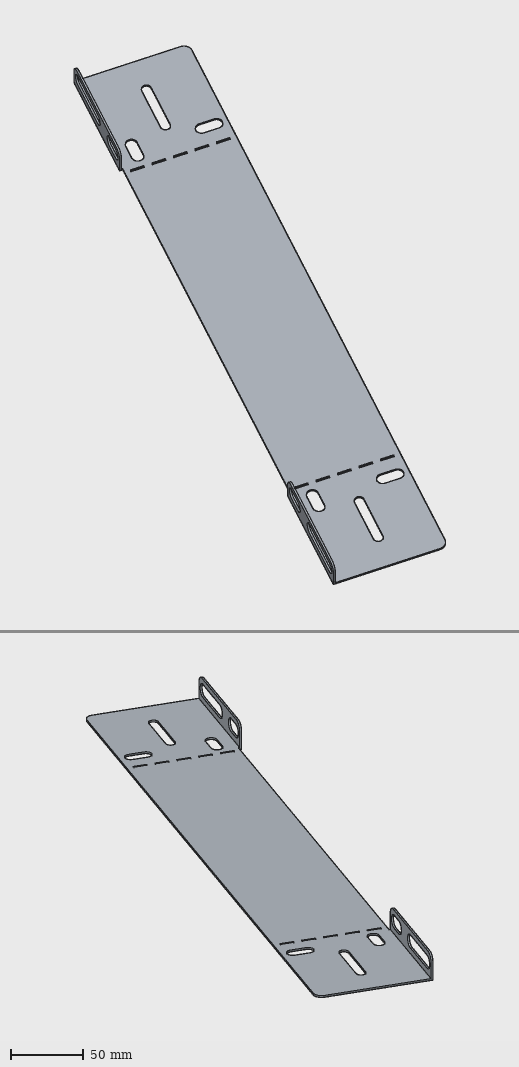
import cadquery as cq

length = 473.0
depth = 86.0
height = 20.0
thickness = 1.5
corner_radius = 6.0

flange_length = 83.2
front_setback = 2.5

middle_row = 42.0
row_offset = 28.0
mount_slot_length = 20.0
mount_slot_width = 8.5
mount_slot_inset = 71.5
long_slot_length = 41.5
long_slot_width = 7.0
long_slot_inset = 42.5

plate_slots = [
    (mount_slot_inset, middle_row - row_offset, mount_slot_length, mount_slot_width, 90),
    (long_slot_inset, middle_row, long_slot_length, long_slot_width, 0),
    (mount_slot_inset, middle_row + row_offset, mount_slot_length, mount_slot_width, 0),
]

flange_slot_width = 10.0
flange_slot_height = 11.0
flange_slot_margin = 3.0
outer_flange_slot_length = 45.0
inner_flange_slot_length = 20.0

slit_count = 5
slit_pitch = 16.0
slit_length = 10.0
slit_width = 1.5
slit_inset = 87.0

front = -depth / 2
rear = depth / 2
left = -length / 2


def make_plate():
    """Flat plate with rounded rear corners, its front edge set back from the flange faces."""
    plate_depth = depth - front_setback
    plate = (
        cq.Workplane("XY", origin=(0, front + front_setback, 0))
        .box(length, plate_depth, thickness, centered=(True, False, False))
    )
    return plate.edges("|Z and >Y").fillet(corner_radius)


def make_left_flange():
    """Upright flange at the left end, with rounded top corners, two slots and a foot on the plate."""
    flange = (
        cq.Workplane("XY", origin=(left, front, 0))
        .box(flange_length, thickness, height, centered=False)
    )
    flange = flange.edges("|Y and >Z").fillet(corner_radius)

    outer_x = left + flange_slot_margin + outer_flange_slot_length / 2
    inner_x = left + flange_length - flange_slot_margin - inner_flange_slot_length / 2
    for x, slot_length in ((outer_x, outer_flange_slot_length), (inner_x, inner_flange_slot_length)):
        cutter = (
            cq.Workplane("XZ", origin=(x, front, flange_slot_height))
            .slot2D(slot_length, flange_slot_width)
            .extrude(thickness, both=True)
        )
        flange = flange.cut(cutter)
    foot = (
        cq.Workplane("XY", origin=(left, front, 0))
        .box(flange_length, front_setback, thickness, centered=False)
    )
    return flange.union(foot)


def make_left_plate_cutters():
    """Through slots and the row of slits at the left end of the plate."""
    cutters = cq.Workplane("XY")
    for inset, from_rear, slot_length, slot_width, angle in plate_slots:
        cutters = cutters.add(
            cq.Workplane("XY", origin=(left + inset, rear - from_rear, 0))
            .slot2D(slot_length, slot_width, angle)
            .extrude(thickness)
        )
    slits = (
        cq.Workplane("XY", origin=(left + slit_inset, rear - middle_row, 0))
        .rarray(slit_width, slit_pitch, 1, slit_count)
        .rect(slit_width, slit_length)
        .extrude(thickness)
    )
    return cutters.add(slits).combine()


def mirrored_pair(body):
    """The body at the left end together with its mirror image at the right end."""
    return body.union(body.mirror("YZ"))


result = (
    make_plate()
    .union(mirrored_pair(make_left_flange()))
    .cut(mirrored_pair(make_left_plate_cutters()))
)